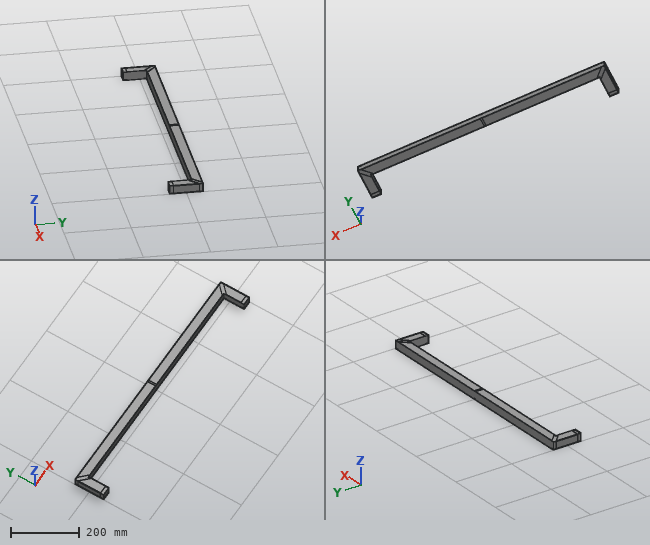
import cadquery as cq

length = 800.0
depth = 100.0
height = 27.0
bar_width = 30.0

skin = 2.0
edge_chamfer = 1.0
foot_land = 12.0
miter_offset = 9.0
center_land = 6.0

half_length = length / 2
half_depth = depth / 2
half_height = height / 2
side_window_top = half_depth - miter_offset - skin
window_bottom = -half_depth + foot_land
outer_rim = half_length - skin
inner_rim = half_length - bar_width + skin
back_rim = half_depth - skin
front_rim = half_depth - bar_width + skin


def u_solid(inset):
    """U-shaped bar with every face moved inwards by the inset."""
    block = cq.Workplane("XY").box(length - 2 * inset, depth - 2 * inset, height - 2 * inset)
    gap_length = length - 2 * bar_width + 2 * inset
    gap_front = -half_depth
    gap_back = half_depth - bar_width + inset
    gap = cq.Workplane("XY").box(gap_length, gap_back - gap_front, height)
    return block.cut(gap.translate((0, (gap_front + gap_back) / 2, 0)))


def miter_y(x, offset):
    """Y of a 45-degree line at the +X corner, shifted in Y from the miter."""
    return half_depth - half_length + x + offset


def window_plug(points):
    """Prism that fills one window in the upper skin."""
    return (cq.Workplane("XY").workplane(offset=half_height - skin)
            .polyline(points).close().extrude(skin))


def right_plugs():
    """Upper, lower and end window plugs of the +X half."""
    leg = window_plug([
        (inner_rim, window_bottom),
        (outer_rim, window_bottom),
        (outer_rim, miter_y(outer_rim, -miter_offset)),
        (inner_rim, miter_y(inner_rim, -miter_offset)),
    ])
    miter_shift = half_length - half_depth - miter_offset
    bar = window_plug([
        (center_land / 2, front_rim),
        (front_rim + miter_shift, front_rim),
        (back_rim + miter_shift, back_rim),
        (center_land / 2, back_rim),
    ])
    end = (cq.Workplane("XY")
           .box(skin, side_window_top - window_bottom, height - 2 * skin)
           .translate((half_length - skin / 2, (side_window_top + window_bottom) / 2, 0)))
    upper = [leg, bar]
    lower = [plug.mirror("XY") for plug in upper]
    return upper + lower + [end]


def make_core():
    """Inner U with raised pads that fill the windows flush."""
    core = u_solid(skin)
    for plug in right_plugs():
        core = core.union(plug).union(plug.mirror("YZ"))
    return core


def make_frame(core):
    """Outer skin with a chamfer around each end face, hollowed to fit the core."""
    outside = u_solid(0).faces("<X or >X").edges().chamfer(edge_chamfer)
    return outside.cut(core)


core = make_core()
frame = make_frame(core)
result = cq.Compound.makeCompound([frame.val(), core.val()])